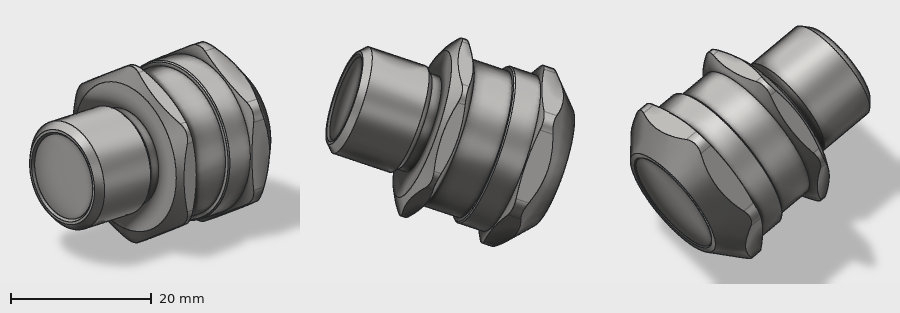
import cadquery as cq
import math

across_flats = 24.0
hex_corner_radius = 3.02

thread_diameter = 16.0
neck_diameter = 14.4
body_diameter = 22.0
collar_diameter = 23.5
nut_rear_diameter = 17.85

thread_end = 9.75
neck_start = 10.55
flange_start = 11.97
flange_end = 15.45
collar_start = 21.3
nut_start = 25.37
total_length = 31.75

thread_chamfer = 1.02
collar_chamfer = 0.2
flange_chamfer_angle = 30.0
nut_front_chamfer_angle = 17.0
nut_rear_chamfer_angle = 44.0

bore_mouth_diameter = 13.15
bore_floor_diameter = 12.5
bore_depth = 0.32
nut_recess_diameter = 16.25
nut_recess_depth = 0.2

hex_circumradius = across_flats / math.sqrt(3)


def turned(points):
    """Turn a (radius, Y) outline around the Y axis."""
    return cq.Workplane("XY").polyline(points).close().revolve(360, (0, 0, 0), (0, 1, 0))


def cone_rise(angle, start_radius):
    """Axial rise of a chamfer cone between its start and the hexagon corner."""
    return (hex_circumradius - start_radius) * math.tan(math.radians(angle))


def chamfered_hex(start, end, front_radius, rear_radius, front_angle, rear_angle):
    """Rounded hexagon prism with its corners cut by a cone at each end."""
    prism = (
        cq.Workplane("XZ", origin=(0, start, 0))
        .polygon(6, 2 * hex_circumradius)
        .extrude(start - end)
        .rotate((0, 0, 0), (0, 1, 0), 30)
        .edges("|Y")
        .fillet(hex_corner_radius)
    )
    envelope = turned([
        (0, start),
        (front_radius, start),
        (hex_circumradius, start + cone_rise(front_angle, front_radius)),
        (hex_circumradius, end - cone_rise(rear_angle, rear_radius)),
        (rear_radius, end),
        (0, end),
    ])
    return prism.intersect(envelope)


def turned_body():
    """Thread, neck, barrel and collar, ending at the nut."""
    thread_radius = thread_diameter / 2
    neck_radius = neck_diameter / 2
    body_radius = body_diameter / 2
    collar_radius = collar_diameter / 2
    return turned([
        (0, 0),
        (thread_radius - thread_chamfer, 0),
        (thread_radius, thread_chamfer),
        (thread_radius, thread_end),
        (neck_radius, neck_start),
        (neck_radius, flange_start),
        (body_radius, flange_start),
        (body_radius, collar_start),
        (collar_radius - collar_chamfer, collar_start),
        (collar_radius, collar_start + collar_chamfer),
        (collar_radius, nut_start),
        (0, nut_start),
    ])


def tapered_recess(mouth, floor, mouth_diameter, floor_diameter):
    """Cutter for a shallow conical recess between two Y positions."""
    return turned([
        (0, mouth),
        (mouth_diameter / 2, mouth),
        (floor_diameter / 2, floor),
        (0, floor),
    ])


flange = chamfered_hex(
    flange_start, flange_end, body_diameter / 2, body_diameter / 2,
    flange_chamfer_angle, flange_chamfer_angle,
)
nut = chamfered_hex(
    nut_start, total_length, collar_diameter / 2, nut_rear_diameter / 2,
    nut_front_chamfer_angle, nut_rear_chamfer_angle,
)
thread_bore = tapered_recess(0, bore_depth, bore_mouth_diameter, bore_floor_diameter)
nut_recess = tapered_recess(
    total_length, total_length - nut_recess_depth,
    nut_recess_diameter, nut_recess_diameter - 2 * nut_recess_depth,
)

result = turned_body().union(flange).union(nut).cut(thread_bore).cut(nut_recess)